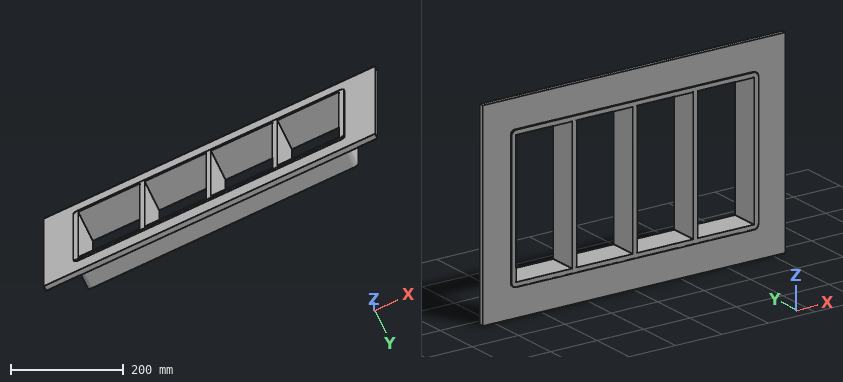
import cadquery as cq

plate_width = 652.0
plate_height = 418.0
plate_thickness = 10.0

border = 60.0
frame_depth = 60.0
frame_front_lip = 3.0
frame_wall = 10.0
corner_radius = 10.0
frame_width = plate_width - 2 * border
frame_height = plate_height - 2 * border

opening_count = 4
divider_thickness = 10.0
divider_total = (opening_count - 1) * divider_thickness
opening_width = (frame_width - 2 * frame_wall - divider_total) / opening_count
opening_height = frame_height - 2 * frame_wall
opening_pitch = opening_width + divider_thickness


def block(width, depth, height, front_y):
    """Box centred in X and Z, running from front_y toward +Y."""
    return cq.Workplane("XY").box(width, depth, height).translate((0, front_y + depth / 2, 0))


plate = block(plate_width, plate_thickness, plate_height, 0)
frame = block(frame_width, frame_depth, frame_height, -frame_front_lip)
frame = frame.edges("|Y").fillet(corner_radius)
result = plate.union(frame)

for index in range(opening_count):
    offset_x = (index - (opening_count - 1) / 2) * opening_pitch
    opening = block(opening_width, frame_depth, opening_height, -frame_front_lip)
    result = result.cut(opening.translate((offset_x, 0, 0)))